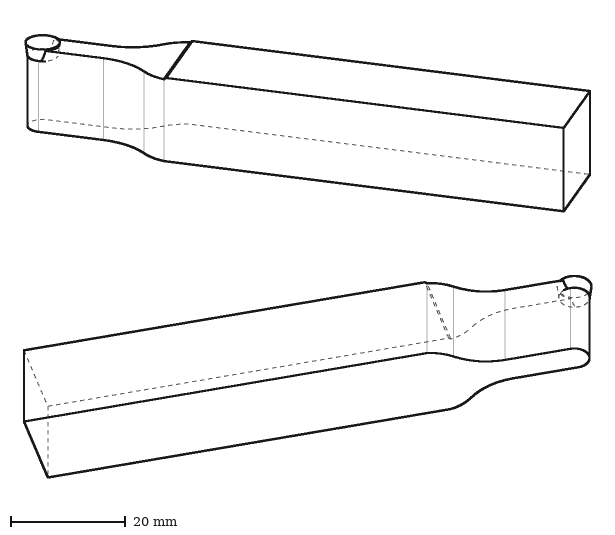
import cadquery as cq
import math

total_length = 100.0
shank_size = 16.0
half_width = shank_size / 2
shoulder_x = 27.4

insert_radius = 3.0
insert_thickness = 2.4
insert_clearance_angle = 7.0
insert_bottom_radius = insert_radius - insert_thickness * math.tan(math.radians(insert_clearance_angle))

neck_half_width = 2.65
neck_end_x = 14.8
flare_middle_x = 23.2
flare_middle_y = 5.9
deck_drop = 0.3
ramp_length = 0.4

insert_x = insert_radius
insert_bottom_z = shank_size - insert_thickness


def make_insert():
    """Round cutting insert, flush with the top of the shank."""
    return (
        cq.Workplane("XZ", origin=(insert_x, 0, insert_bottom_z))
        .polyline([
            (0, 0),
            (insert_bottom_radius, 0),
            (insert_radius, insert_thickness),
            (0, insert_thickness),
        ])
        .close()
        .revolve(360, (0, 0), (0, 1))
    )


def make_body():
    """Shank, flare and neck with its round nose, all at full height."""
    half = (
        cq.Workplane("XY")
        .moveTo(insert_x, neck_half_width)
        .lineTo(neck_end_x, neck_half_width)
        .tangentArcPoint((flare_middle_x, flare_middle_y), relative=False)
        .tangentArcPoint((shoulder_x, half_width), relative=False)
        .lineTo(total_length, half_width)
        .lineTo(total_length, 0)
        .lineTo(insert_x, 0)
        .close()
        .extrude(shank_size)
    )
    nose = cq.Workplane("XY").center(insert_x, 0).circle(neck_half_width).extrude(shank_size)
    return half.union(half.mirror("XZ")).union(nose)


def make_deck_cut():
    """Shallow cut over the neck, ending in a ramp up to the shank's top."""
    deck_z = shank_size - deck_drop
    return (
        cq.Workplane("XZ")
        .polyline([
            (0, deck_z),
            (shoulder_x, deck_z),
            (shoulder_x + ramp_length, shank_size),
            (0, shank_size),
        ])
        .close()
        .extrude(half_width, both=True)
    )


insert = make_insert()
holder = make_body().cut(make_deck_cut()).cut(insert)

result = cq.Compound.makeCompound([holder.solids().val(), insert.val()])